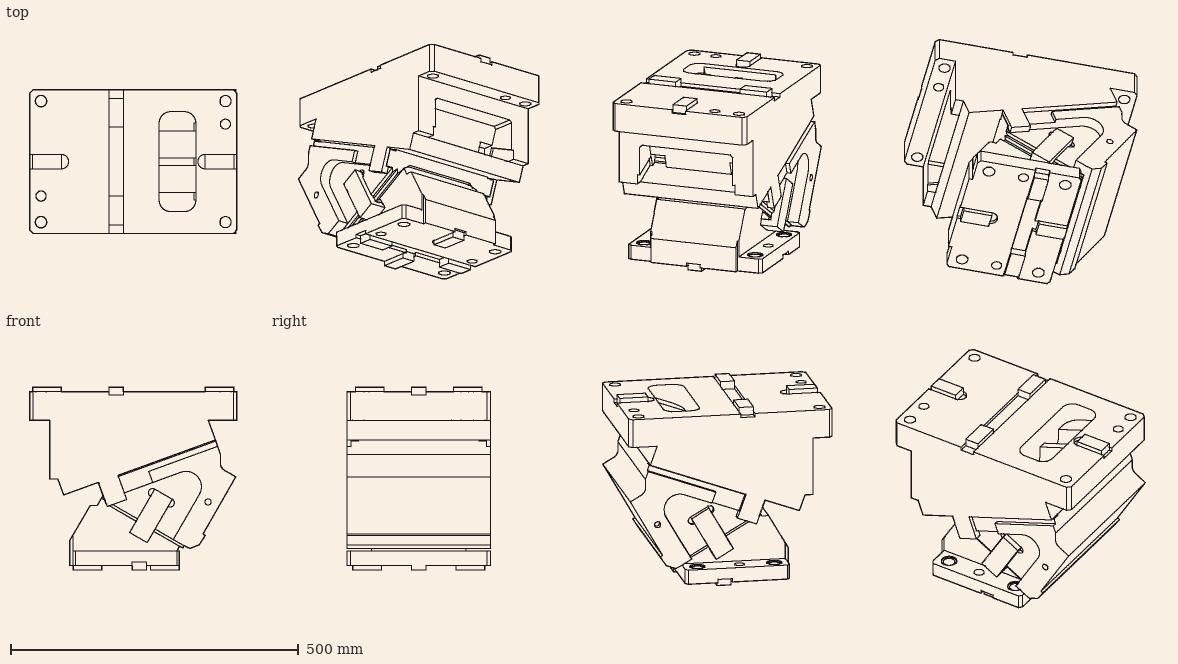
import cadquery as cq
import math

SLIDE_ANGLE = 20
RAMP_ANGLE = -30

HALF_LENGTH = 180.0
HALF_WIDTH = 125.0
UNIT_HEIGHT = 302.0
KEY_LENGTH = 50.0
KEY_WIDTH = 25.2
KEY_PROUD = 8.0
KEYWAY_DEPTH = 6.0
DOWEL_RADIUS = 8.5
SLIDE_ORIGIN = (-121.0, 122.5)
RAMP_ORIGIN = (-39.2, 102.5)

PLATE_THICKNESS = 50.0
PLATE_CHAMFER = 6.0
HOLDER_LEFT = -145.0
HOLDER_RIGHT = 130.5
NOSE_HEIGHT = 29.5
SIDE_WALL_BOTTOM = 150.0
SLIDE_LENGTH = 280.8
BOLT_RADIUS = 9.7
BOLT_X = 160.2
BOLT_Y = 105.0
LEFT_DOWEL_Y = -59.8
RIGHT_DOWEL_Y = 65.0
CROSS_KEYWAY_X = -30.0
CROSS_KEY_Y = 85.0
END_KEY_INSET = 5.0

FOOT_START = 64.5
FOOT_END = 100.5
FOOT_DROP = 44.5
FOOT_LIP_HALF_GAP = 112.5

OPENING_HALF_WIDTH = 86.8
OPENING_TOP = 221.0
OPENING_CORNER = 4.5
OPENING_DEPTH = 50.0
FLOOR_GROOVE_HALF_WIDTH = 91.0
FLOOR_GROOVE_HEIGHT = 20.0
NICHE_INNER_Y = 61.0
NICHE_LENGTH = 10.0
NICHE_BEVEL_BOTTOM = 173.5
NICHE_BEVEL_TOP = 179.5
NICHE_BEVEL_RUN = 2.0
NICHE_TOP = 190.0

WINDOW_LEFT = 45.0
WINDOW_RIGHT = 108.7
WINDOW_RIM = 6.0
WINDOW_CORNER = 19.8
SHELF_HEIGHT = 74.5
SHELF_END = 268.2
TROUGH_Y = 30.0
TROUGH_RADIUS = 23.5
TROUGH_WALL = 13.5
WINDOW_GAP_BOTTOM = 18.0

SLIDER_START = 63.7
SLIDER_END_DROP = 38.5
FLANGE_HALF_WIDTH = 117.7
FLANGE_THICKNESS = 32.5
WEB_HALF_WIDTH = 104.5
FLANGE_GAP = 2.0
CHEEK_START = 153.0
CHEEK_TOP = -12.0
CHEEK_BOTTOM = 4.5
CREST_END = 144.7
POCKET_CORNER = 26.5
POCKET_WALL_FOOT = (70.0, 45.7)
TOE_BOTTOM = (98.3, 29.5)
TOE_CORNER = (115.0, 36.0)
TOE_STEP_OUTER = (125.3, 52.5)
WORK_FACE_FOOT = (121.5, 54.7)
WORK_FACE_TOP = (178.2, 154.0)
NECK_ARC_START = (161.3, 164.0)
NECK_ARC_MIDDLE = (154.8, 169.0)
NECK_ARC_END = (151.5, 175.5)
NECK_TOP = (151.5, 193.5)
SIDE_HOLE = (130.0, 110.5)
SIDE_HOLE_RADIUS = 5.5
SIDE_HOLE_DEPTH = 10.8

ROOF_SLOPE = math.tan(math.radians(30))
OUTER_CREST_Y = 101.5
VALLEY_Y = 93.2
INNER_CREST_Y = 90.5
ROOF_HALF_WIDTH = 68.5
ROOF_HEIGHT = (INNER_CREST_Y - ROOF_HALF_WIDTH) * ROOF_SLOPE
V_GUIDE = [
    (WEB_HALF_WIDTH, CHEEK_BOTTOM), (OUTER_CREST_Y, 0.0), (VALLEY_Y, CHEEK_BOTTOM),
    (INNER_CREST_Y, 0.0), (ROOF_HALF_WIDTH, ROOF_HEIGHT),
]

HOOK_START = 51.0
HOOK_END = 86.5
HOOK_TOP = 64.5
HOOK_BOTTOM = -22.5
HOOK_OUTER_Y = 115.2
HOOK_INNER_Y = 100.8
HOOK_LIP_Y = 84.0
CORNER_RELIEF_RADIUS = 7.2
CORNER_RELIEF_DEPTH = 7.2
RAIL_OUTER_Y = 96.0
RAIL_TOP = -6.0
RAIL_BOTTOM = -11.5
RAIL_INSET = 2.0

DRIVER_LEFT = -110.5
BASE_LEFT = -104.5
BASE_RIGHT = 80.0
BASE_THICKNESS = 25.5
BASE_CHAMFER_X = 4.5
BASE_CHAMFER_Y = 6.0
DRIVER_HALF_WIDTH = 82.5
FRONT_HALF_WIDTH = 79.5
FRONT_FACE_TOP = 43.5
SHOULDER = 104.5
SHOULDER_LEFT = -75.0
SHOULDER_RIGHT = -62.5
ROOF_START = -21.2
ROOF_END = 138.0
ROOF_END_FOOT = 76.5
BASE_BOLT_RADIUS = 10.0
BASE_BOLT_X = (-80.5, 55.5)
BASE_BOLT_Y = 103.5
BASE_DOWEL_X = -19.0
COUNTERBORE_RADIUS = 13.5
COUNTERBORE_DEPTH = 2.0
BASE_CROSS_KEYWAY_X = 10.5
BASE_CROSS_KEY_Y = 89.5

FAR = 216.0


def frame_point(origin, angle, along, up):
    """(X, Z) of a point given along and square to a line at the given angle."""
    a = math.radians(angle)
    x = origin[0] + along * math.cos(a) - up * math.sin(a)
    z = origin[1] + along * math.sin(a) + up * math.cos(a)
    return x, z


def slide_point(along, up):
    return frame_point(SLIDE_ORIGIN, SLIDE_ANGLE, along, up)


def ramp_point(along, up):
    return frame_point(RAMP_ORIGIN, RAMP_ANGLE, along, up)


def box(x0, x1, y0, y1, z0, z1):
    return cq.Workplane("XY").box(x1 - x0, y1 - y0, z1 - z0, centered=False).translate((x0, y0, z0))


def side_prism(points, y0, y1):
    """Solid with the given (X, Z) outline, running from y0 to y1."""
    return cq.Workplane("XZ", origin=(0, y0, 0)).polyline(points).close().extrude(y0 - y1)


def framed_block(point, a0, a1, u0, u1, y0, y1):
    """Block aligned with the slide plane or the ramp."""
    corners = [point(a0, u0), point(a1, u0), point(a1, u1), point(a0, u1)]
    return side_prism(corners, y0, y1)


def both_sides(body):
    return body.union(body.mirror("XZ"))


def ramp_prism(profile, start, end):
    """Solid with the given (Y, height) profile, running along the ramp."""
    a = math.radians(RAMP_ANGLE)
    x, z = ramp_point(start, 0)
    plane = cq.Plane(origin=(x, 0, z), xDir=(0, 1, 0), normal=(math.cos(a), 0, math.sin(a)))
    return cq.Workplane(plane).polyline(profile).close().extrude(end - start)


def vertical_holes(points, radius, z0, z1):
    return cq.Workplane("XY", origin=(0, 0, z0)).pushPoints(points).circle(radius).extrude(z1 - z0)


def chamfered_plate(x0, x1, z0, z1, chamfer_x, chamfer_y):
    w = HALF_WIDTH
    outline = [
        (x0 + chamfer_x, -w), (x1 - chamfer_x, -w), (x1, chamfer_y - w), (x1, w - chamfer_y),
        (x1 - chamfer_x, w), (x0 + chamfer_x, w), (x0, w - chamfer_y), (x0, chamfer_y - w),
    ]
    return cq.Workplane("XY", origin=(0, 0, z0)).polyline(outline).close().extrude(z1 - z0)


def add_keys(body, face_z, outward, end_keys, cross_x, cross_y):
    """Cut the keyways into a mounting face and seat the two end keys and two cross keys in them.

    end_keys holds (inner end of key, outer end of key) along X for each end key.
    """
    half = KEY_WIDTH / 2
    bottom = face_z - outward * KEYWAY_DEPTH
    top = face_z + outward * KEY_PROUD
    low, high = sorted((bottom, top))
    body = body.cut(box(cross_x - half, cross_x + half, -FAR, FAR, low, high))
    for inner, outer in end_keys:
        edge = math.copysign(FAR, outer - inner)
        x0, x1 = sorted((inner, edge))
        body = body.cut(box(x0, x1, -half, half, low, high))
        body = body.cut(vertical_holes([(inner, 0)], half, low, high))
    for inner, outer in end_keys:
        x0, x1 = sorted((inner, outer))
        body = body.union(box(x0, x1, -half, half, low, high))
    for y in (-cross_y, cross_y):
        y0, y1 = y - KEY_LENGTH / 2, y + KEY_LENGTH / 2
        body = body.union(box(cross_x - half, cross_x + half, y0, y1, low, high))
    return body


def holder_blank():
    plate_bottom = UNIT_HEIGHT - PLATE_THICKNESS
    plate = chamfered_plate(
        -HALF_LENGTH, HALF_LENGTH, plate_bottom, UNIT_HEIGHT, PLATE_CHAMFER, PLATE_CHAMFER
    )
    nose_x = slide_point(0, NOSE_HEIGHT)[0]
    outline = [
        (HOLDER_LEFT, plate_bottom), (HOLDER_LEFT, SIDE_WALL_BOTTOM), (nose_x, SIDE_WALL_BOTTOM),
        SLIDE_ORIGIN, slide_point(SLIDE_LENGTH, 0), (HOLDER_RIGHT, plate_bottom),
    ]
    return plate.union(side_prism(outline, -HALF_WIDTH, HALF_WIDTH))


def holder_feet():
    """Feet that drop past the slider flange and turn in under it."""
    foot = framed_block(slide_point, FOOT_START, FOOT_END, -FOOT_DROP, 0, FLANGE_HALF_WIDTH, HALF_WIDTH)
    lip = framed_block(
        slide_point, FOOT_START, FOOT_END, -FOOT_DROP, -FLANGE_THICKNESS, FOOT_LIP_HALF_GAP, HALF_WIDTH
    )
    return both_sides(foot.union(lip))


def end_opening():
    """Opening in the left end with a sloping floor, a wider floor groove and two niches at its back."""
    floor_start = slide_point(-FAR, NOSE_HEIGHT)
    back_foot = slide_point(OPENING_DEPTH, NOSE_HEIGHT)
    rise = OPENING_TOP - back_foot[1]
    back_top = (back_foot[0] - rise * math.tan(math.radians(SLIDE_ANGLE)), OPENING_TOP)
    outline = [floor_start, back_foot, back_top, (floor_start[0], OPENING_TOP)]
    opening = side_prism(outline, -OPENING_HALF_WIDTH, OPENING_HALF_WIDTH)
    opening = opening.edges("|X and >Z").chamfer(OPENING_CORNER)

    groove = framed_block(
        slide_point, -FAR, OPENING_DEPTH, NOSE_HEIGHT, NOSE_HEIGHT + FLOOR_GROOVE_HEIGHT,
        -FLOOR_GROOVE_HALF_WIDTH, FLOOR_GROOVE_HALF_WIDTH,
    )

    back_x, back_z = slide_point(OPENING_DEPTH + NICHE_LENGTH, NOSE_HEIGHT)
    bevelled_x = back_x + NICHE_BEVEL_RUN
    niche_outline = [
        back_foot, (back_x, back_z), (back_x, NICHE_BEVEL_BOTTOM), (bevelled_x, NICHE_BEVEL_TOP),
        (bevelled_x, NICHE_TOP), (back_top[0], NICHE_TOP),
    ]
    niches = both_sides(side_prism(niche_outline, NICHE_INNER_Y, OPENING_HALF_WIDTH))
    return opening.union(groove).union(niches)


def trough(y, end):
    """Channel along the slide plane with upright walls and a round bottom."""
    slope = math.radians(SLIDE_ANGLE)
    plane = cq.Plane(
        origin=(SLIDE_ORIGIN[0], 0, SLIDE_ORIGIN[1]), xDir=(0, 1, 0),
        normal=(math.cos(slope), 0, math.sin(slope)),
    )
    spring_line = SHELF_HEIGHT - TROUGH_WALL
    bottom = spring_line - TROUGH_RADIUS
    return (
        cq.Workplane(plane)
        .moveTo(y - TROUGH_RADIUS, SHELF_HEIGHT)
        .lineTo(y - TROUGH_RADIUS, spring_line)
        .threePointArc((y, bottom), (y + TROUGH_RADIUS, spring_line))
        .lineTo(y + TROUGH_RADIUS, SHELF_HEIGHT)
        .close()
        .extrude(end)
        .intersect(box(WINDOW_LEFT, FAR, -FAR, FAR, 0, UNIT_HEIGHT))
    )


def window():
    """Window in the top plate, down to a sloping shelf crossed by two troughs."""
    shaft = box(WINDOW_LEFT, WINDOW_RIGHT, -OPENING_HALF_WIDTH, OPENING_HALF_WIDTH, 0, UNIT_HEIGHT)
    shaft = shaft.edges("|Z").fillet(WINDOW_CORNER)
    shelf = framed_block(slide_point, 0, FAR * 2, SHELF_HEIGHT, FAR, -FAR, FAR)
    opening = shaft.intersect(shelf)

    slope = math.radians(SLIDE_ANGLE)
    rim_x = WINDOW_RIGHT - SLIDE_ORIGIN[0]
    rim_z = UNIT_HEIGHT - WINDOW_RIM - SLIDE_ORIGIN[1]
    back_wall = rim_x * math.cos(slope) + rim_z * math.sin(slope)
    rim_height = rim_z * math.cos(slope) - rim_x * math.sin(slope)
    gap_half_width = OPENING_HALF_WIDTH - WINDOW_CORNER
    gap = framed_block(
        slide_point, SHELF_END, back_wall, WINDOW_GAP_BOTTOM, rim_height, -gap_half_width, gap_half_width
    )
    opening = opening.union(gap)
    for y in (-TROUGH_Y, TROUGH_Y):
        opening = opening.union(trough(y, back_wall))
    return opening


def make_holder():
    body = holder_blank().union(holder_feet()).cut(end_opening()).cut(window())
    bolts = [(x, y) for x in (-BOLT_X, BOLT_X) for y in (-BOLT_Y, BOLT_Y)]
    dowels = [(-BOLT_X, LEFT_DOWEL_Y), (BOLT_X, RIGHT_DOWEL_Y)]
    plate_bottom = UNIT_HEIGHT - PLATE_THICKNESS
    body = body.cut(vertical_holes(bolts, BOLT_RADIUS, plate_bottom, UNIT_HEIGHT))
    body = body.cut(vertical_holes(dowels, DOWEL_RADIUS, plate_bottom, UNIT_HEIGHT))
    outer = HALF_LENGTH - END_KEY_INSET
    inner = outer - KEY_LENGTH
    return add_keys(body, UNIT_HEIGHT, 1, [(-inner, -outer), (inner, outer)], CROSS_KEYWAY_X, CROSS_KEY_Y)


def slider_section(half_width):
    """Full side outline of the slider, extruded across."""
    return (
        cq.Workplane("XZ")
        .moveTo(*slide_point(SLIDER_START, 0))
        .lineTo(*slide_point(SLIDER_START, -SLIDER_END_DROP))
        .lineTo(*ramp_point(0, 0))
        .lineTo(*ramp_point(CREST_END, 0))
        .lineTo(*ramp_point(CREST_END, CHEEK_BOTTOM))
        .lineTo(*TOE_BOTTOM)
        .lineTo(*TOE_CORNER)
        .lineTo(*TOE_STEP_OUTER)
        .lineTo(*WORK_FACE_FOOT)
        .lineTo(*WORK_FACE_TOP)
        .lineTo(*NECK_ARC_START)
        .threePointArc(NECK_ARC_MIDDLE, NECK_ARC_END)
        .lineTo(*NECK_TOP)
        .lineTo(*slide_point(SLIDE_LENGTH, 0))
        .close()
        .extrude(half_width, both=True)
    )


def side_pocket():
    """Pocket in each cheek, down to the web, with one rounded corner."""
    wall_angle = 90 + RAMP_ANGLE
    roof_slope = math.tan(math.radians(SLIDE_ANGLE))
    wall_slope = math.tan(math.radians(wall_angle))
    roof_left = slide_point(0, -FLANGE_THICKNESS)
    wall_foot = frame_point(POCKET_WALL_FOOT, wall_angle, -FAR, 0)
    wall_at_roof_left = POCKET_WALL_FOOT[1] + wall_slope * (roof_left[0] - POCKET_WALL_FOOT[0])
    run = (roof_left[1] - wall_at_roof_left) / (wall_slope - roof_slope)
    corner = (roof_left[0] + run, roof_left[1] + roof_slope * run)
    pocket = side_prism([roof_left, corner, wall_foot, (roof_left[0], wall_foot[1])], WEB_HALF_WIDTH, FAR)
    return both_sides(pocket.edges("|Y and >X").fillet(POCKET_CORNER))


def return_hooks():
    """Plates on the web that reach below the ramp and turn in under the driver rails."""
    plate = framed_block(ramp_point, HOOK_START, HOOK_END, HOOK_BOTTOM, HOOK_TOP, HOOK_INNER_Y, HOOK_OUTER_Y)
    lip = framed_block(ramp_point, HOOK_START, HOOK_END, HOOK_BOTTOM, RAIL_BOTTOM, HOOK_LIP_Y, HOOK_OUTER_Y)
    return both_sides(plate.union(lip))


def corner_reliefs():
    y = WEB_HALF_WIDTH - CORNER_RELIEF_DEPTH
    height = HOOK_TOP - CORNER_RELIEF_RADIUS
    centres = [ramp_point(HOOK_START, height), ramp_point(HOOK_END, height)]
    reliefs = cq.Workplane("XZ", origin=(0, y, 0)).pushPoints(centres).circle(CORNER_RELIEF_RADIUS)
    return both_sides(reliefs.extrude(-CORNER_RELIEF_DEPTH))


def side_holes():
    """Blind holes with a conical bottom."""
    tip = SIDE_HOLE_DEPTH + SIDE_HOLE_RADIUS
    profile = [(0, 0), (SIDE_HOLE_RADIUS, 0), (SIDE_HOLE_RADIUS, SIDE_HOLE_DEPTH), (0, tip)]
    hole = cq.Workplane("XY").polyline(profile).close().revolve(360, (0, 0), (0, 1))
    return both_sides(hole.translate((SIDE_HOLE[0], -HALF_WIDTH, SIDE_HOLE[1])))


def make_slider():
    body = slider_section(HALF_WIDTH)
    beside_flange = framed_block(
        slide_point, 0, CHEEK_START, -FLANGE_THICKNESS, FAR, FLANGE_HALF_WIDTH, HALF_WIDTH
    )
    above_cheek = framed_block(
        slide_point, 0, SLIDE_LENGTH * 2, CHEEK_TOP, FAR, FLANGE_HALF_WIDTH, HALF_WIDTH
    )
    over_flange = framed_block(slide_point, 0, SLIDE_LENGTH * 2, -FLANGE_GAP, FAR, WEB_HALF_WIDTH, HALF_WIDTH)
    body = body.cut(both_sides(over_flange))
    body = body.cut(both_sides(beside_flange)).cut(both_sides(above_cheek)).cut(side_pocket())

    right = [(FAR, CHEEK_BOTTOM)] + V_GUIDE
    left = [(-y, u) for y, u in reversed(right)]
    below_ramp = [(-FAR, -FAR), (FAR, -FAR)] + right + left
    body = body.cut(ramp_prism(below_ramp, -FAR, CREST_END))
    return body.cut(corner_reliefs()).union(return_hooks()).cut(side_holes())


def driver_block():
    outline = [
        (DRIVER_LEFT, 0), (DRIVER_LEFT, FRONT_FACE_TOP), (SHOULDER_LEFT, SHOULDER),
        (SHOULDER_RIGHT, SHOULDER), ramp_point(ROOF_START, ROOF_HEIGHT), ramp_point(ROOF_END, ROOF_HEIGHT),
        (ROOF_END_FOOT, BASE_THICKNESS), (ROOF_END_FOOT, 0),
    ]
    block = side_prism(outline, -DRIVER_HALF_WIDTH, DRIVER_HALF_WIDTH)
    front_steps = both_sides(box(-FAR, BASE_LEFT, FRONT_HALF_WIDTH, FAR, 0, FAR))
    eaves = ROOF_HEIGHT - (FAR - ROOF_HALF_WIDTH) * ROOF_SLOPE
    above_roof = [
        (-FAR, FAR), (-FAR, eaves), (-ROOF_HALF_WIDTH, ROOF_HEIGHT),
        (ROOF_HALF_WIDTH, ROOF_HEIGHT), (FAR, eaves), (FAR, FAR),
    ]
    return block.cut(front_steps).cut(ramp_prism(above_roof, ROOF_START, FAR))


def driver_rails():
    """Short rails gripped by the return hooks; their tops slope like the roof."""
    inner = ROOF_HALF_WIDTH
    inner_top = RAIL_TOP + (RAIL_OUTER_Y - inner) * ROOF_SLOPE
    profile = [
        (inner, RAIL_BOTTOM), (RAIL_OUTER_Y, RAIL_BOTTOM), (RAIL_OUTER_Y, RAIL_TOP), (inner, inner_top),
    ]
    return both_sides(ramp_prism(profile, HOOK_START + RAIL_INSET, HOOK_END - RAIL_INSET))


def make_driver():
    base = chamfered_plate(BASE_LEFT, BASE_RIGHT, 0, BASE_THICKNESS, BASE_CHAMFER_X, BASE_CHAMFER_Y)
    bolts = [(x, y) for x in BASE_BOLT_X for y in (-BASE_BOLT_Y, BASE_BOLT_Y)]
    dowels = [(BASE_DOWEL_X, y) for y in (-BASE_BOLT_Y, BASE_BOLT_Y)]
    base = base.cut(vertical_holes(bolts, BASE_BOLT_RADIUS, 0, BASE_THICKNESS))
    counterbore_floor = BASE_THICKNESS - COUNTERBORE_DEPTH
    base = base.cut(vertical_holes(bolts, COUNTERBORE_RADIUS, counterbore_floor, BASE_THICKNESS))
    base = base.cut(vertical_holes(dowels, DOWEL_RADIUS, 0, BASE_THICKNESS))
    body = base.union(driver_block()).union(driver_rails())
    end_keys = [(BASE_LEFT + KEY_LENGTH, BASE_LEFT), (BASE_RIGHT - KEY_LENGTH, BASE_RIGHT)]
    return add_keys(body, 0, -1, end_keys, BASE_CROSS_KEYWAY_X, BASE_CROSS_KEY_Y)


holder = make_holder()
slider = make_slider()
driver = make_driver()
result = cq.Compound.makeCompound([holder.val(), slider.val(), driver.val()])